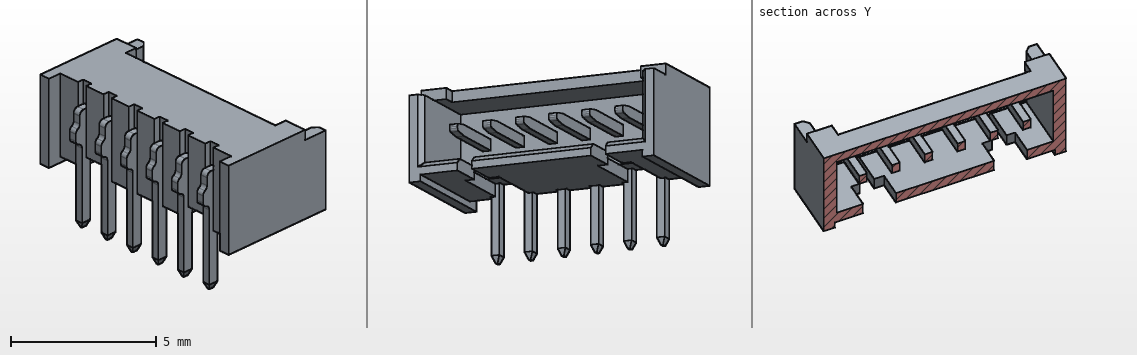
import cadquery as cq


HOUSING_WIDTH = 9.25
HOUSING_DEPTH = 4.7
HOUSING_HEIGHT = 3.5
EAR_THICKNESS = 0.43
SIDE_WALL = 0.5
FLOOR_BOTTOM = 0.24
FLOOR_TOP = 0.7
CEILING = 3.1
FRONT_FACE = 0.55
CAVITY_FRONT = 1.5
ROOF_SETBACK = 1.0
RECESS_SETBACK = 1.5
ROOF_END_WIDTH = 0.95
LEAD_IN_DEPTH = 0.2
LEAD_IN_WIDTH = 0.18

PIN_COUNT = 6
PITCH = 1.25
PIN_WIDTH = 0.3
PIN_THICKNESS = 0.4
PIN_TOP = 2.59
GROOVE_WIDTH = 0.4
GROOVE_BACK = 0.8
LEG_FRONT = GROOVE_BACK - PIN_THICKNESS
SHOULDER_FRONT = 0.29
ELBOW_RADIUS = 0.19
BULGE_FRONT = 0.1
SHOULDER_BOTTOM = 2.09
BULGE_TOP = 1.76
BULGE_BOTTOM = 1.48
BULGE_END = 1.1
LEG_BOTTOM = -2.1
LEG_POINT_LENGTH = 0.26
LEG_POINT_WIDTH = 0.08
LEG_POINT_THICKNESS = 0.2
SHOULDER_BACK = 1.2
CONTACT_END = 4.3
TAPER_LENGTH = 0.52
TAPER_DROP = 0.08
CONTACT_END_RADIUS = 0.1

NOTCH_WIDTH = 0.55
NOTCH_INNER_EDGE = 2.25
NOTCH_LENGTH = 1.4
WINDOW_WIDTH = PITCH

PIN_POSITIONS = [(i - (PIN_COUNT - 1) / 2) * PITCH for i in range(PIN_COUNT)]
WINDOW_CENTRE = (PIN_POSITIONS[-1] + PIN_POSITIONS[-2]) / 2
CAVITY_WIDTH = HOUSING_WIDTH - 2 * SIDE_WALL
OVERCUT = 1.0


def block(x_range, y_range, z_range):
    """Box spanning the given (low, high) ranges."""
    ranges = (x_range, y_range, z_range)
    size = [high - low for low, high in ranges]
    corner = tuple(low for low, high in ranges)
    return cq.Workplane("XY").box(*size, centered=False).translate(corner)


def centred(width, centre=0.0):
    """(low, high) range of the given width about a centre."""
    return (centre - width / 2, centre + width / 2)


def housing_shell():
    """Outer block with the ears left standing at the front and below."""
    between_ears = centred(HOUSING_WIDTH - 2 * EAR_THICKNESS)
    shell = block(centred(HOUSING_WIDTH), (0, HOUSING_DEPTH), (0, HOUSING_HEIGHT))
    shell = shell.cut(block(between_ears, (-OVERCUT, FRONT_FACE), (-OVERCUT, HOUSING_HEIGHT + OVERCUT)))
    return shell.cut(block(between_ears, (0, HOUSING_DEPTH + OVERCUT), (-OVERCUT, FLOOR_BOTTOM)))


def roof_cutouts():
    """Step at the mouth and the longer recess between the roof ends."""
    roof = (CEILING, HOUSING_HEIGHT + OVERCUT)
    mouth = HOUSING_DEPTH + OVERCUT
    step = block(centred(HOUSING_WIDTH + OVERCUT), (HOUSING_DEPTH - ROOF_SETBACK, mouth), roof)
    recess = block(centred(HOUSING_WIDTH - 2 * ROOF_END_WIDTH), (HOUSING_DEPTH - RECESS_SETBACK, mouth), roof)
    return step.union(recess)


def mating_cavity():
    """Cavity open at the mouth, flared at the floor and both end walls."""
    cavity = block(centred(CAVITY_WIDTH), (CAVITY_FRONT, HOUSING_DEPTH), (FLOOR_TOP, CEILING))
    half_width = CAVITY_WIDTH / 2
    flare_start = HOUSING_DEPTH - LEAD_IN_DEPTH

    def mouth_outline(y, growth):
        half = half_width + growth
        bottom = FLOOR_TOP - growth
        corners = [(-half, y, bottom), (half, y, bottom), (half, y, CEILING), (-half, y, CEILING)]
        return cq.Wire.makePolygon([cq.Vector(*corner) for corner in corners], close=True)

    flare = cq.Solid.makeLoft(
        [mouth_outline(flare_start, 0.0), mouth_outline(HOUSING_DEPTH, LEAD_IN_WIDTH)], True
    )
    return cavity.union(cq.Workplane(obj=flare))


def floor_opening():
    """Window through the front wall and floor that narrows to a notch at the mouth, on the +X side."""
    heights = (-OVERCUT, FLOOR_TOP)
    notch_start = HOUSING_DEPTH - NOTCH_LENGTH
    notch_range = (NOTCH_INNER_EDGE, NOTCH_INNER_EDGE + NOTCH_WIDTH)
    window = block(centred(WINDOW_WIDTH, WINDOW_CENTRE), (0, notch_start), heights)
    notch = block(notch_range, (0, HOUSING_DEPTH + OVERCUT), heights)
    return window.union(notch)


def contact():
    """One bent contact centred on X = 0: mating blade, shoulder, bulged leg and pointed end."""
    blade_bottom = (FLOOR_TOP + CEILING - PIN_THICKNESS) / 2
    blade_top = blade_bottom + PIN_THICKNESS
    taper_start = CONTACT_END - TAPER_LENGTH
    point_start = LEG_BOTTOM + LEG_POINT_LENGTH
    shoulder_mid = ((SHOULDER_FRONT + BULGE_FRONT) / 2, (SHOULDER_BOTTOM + BULGE_TOP) / 2)
    return_mid = ((BULGE_FRONT + LEG_FRONT) / 2, (BULGE_BOTTOM + BULGE_END) / 2)
    bar = (
        cq.Workplane("YZ")
        .moveTo(GROOVE_BACK, point_start)
        .lineTo(GROOVE_BACK, blade_bottom)
        .lineTo(taper_start, blade_bottom)
        .lineTo(CONTACT_END, blade_bottom + TAPER_DROP)
        .lineTo(CONTACT_END, blade_top - TAPER_DROP)
        .lineTo(taper_start, blade_top)
        .lineTo(SHOULDER_BACK, blade_top)
        .lineTo(SHOULDER_BACK, PIN_TOP)
        .lineTo(SHOULDER_FRONT + ELBOW_RADIUS, PIN_TOP)
        .tangentArcPoint((SHOULDER_FRONT, PIN_TOP - ELBOW_RADIUS), relative=False)
        .lineTo(SHOULDER_FRONT, SHOULDER_BOTTOM)
        .tangentArcPoint(shoulder_mid, relative=False)
        .tangentArcPoint((BULGE_FRONT, BULGE_TOP), relative=False)
        .lineTo(BULGE_FRONT, BULGE_BOTTOM)
        .tangentArcPoint(return_mid, relative=False)
        .tangentArcPoint((LEG_FRONT, BULGE_END), relative=False)
        .lineTo(LEG_FRONT, point_start)
        .close()
        .extrude(PIN_WIDTH / 2, both=True)
    )
    bar = bar.faces(">Y").edges("|X").fillet(CONTACT_END_RADIUS)
    point = (
        cq.Workplane("XY", origin=(0, (LEG_FRONT + GROOVE_BACK) / 2, point_start))
        .rect(PIN_WIDTH, PIN_THICKNESS)
        .workplane(offset=-LEG_POINT_LENGTH)
        .rect(LEG_POINT_WIDTH, LEG_POINT_THICKNESS)
        .loft(ruled=True)
    )
    return bar.union(point)


def build():
    opening = floor_opening()
    part = housing_shell().cut(roof_cutouts()).cut(mating_cavity())
    part = part.cut(opening).cut(opening.mirror("YZ"))
    for x in PIN_POSITIONS:
        part = part.cut(block(centred(GROOVE_WIDTH, x), (0, GROOVE_BACK), (0, HOUSING_HEIGHT + OVERCUT)))
    pin = contact()
    for x in PIN_POSITIONS:
        part = part.union(pin.translate((x, 0, 0)))
    return part


result = build()